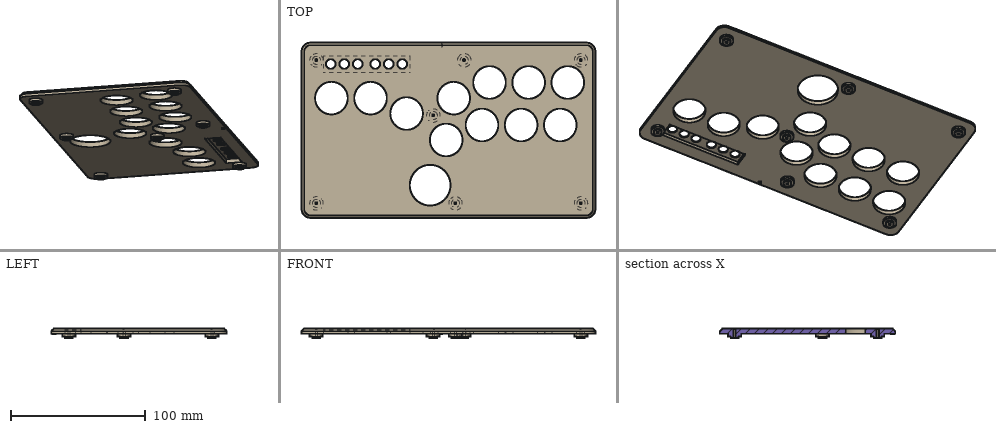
import cadquery as cq

plate_length = 218.0
plate_width = 130.1
plate_thickness = 4.0
corner_radius = 7.0
rim_chamfer = 2.0

total_height = 7.2
foot_diameter = 10.0
foot_tip_diameter = 6.0
foot_tip_height = 1.2
foot_height = total_height - plate_thickness
screw_hole_diameter = 1.62
screw_hole_skin = 0.6

foot_side_x = 98.0
foot_back_y = 52.0
foot_front_y = -54.0
foot_positions = [
    (-foot_side_x, foot_back_y),
    (11.5, foot_back_y),
    (foot_side_x, foot_back_y),
    (-11.4, 11.1),
    (-foot_side_x, foot_front_y),
    (5.0, foot_front_y),
    (foot_side_x, foot_front_y),
]

option_diameter = 7.0
option_pitch = 10.0
option_group_size = 3
option_row_y = 49.1
option_group_starts = [-87.25, -54.27]

option_positions = []
for group_start in option_group_starts:
    for index in range(option_group_size):
        option_positions.append((group_start + index * option_pitch, option_row_y))

button_diameter = 24.0
button_pitch = 29.0
thumb_diameter = 30.0

left_row_y = 23.8
left_row_x = -86.75
upper_row_y = 35.4
upper_row_x = 30.4
lower_row_y = 3.9
lower_row_x = 24.82
row_button_count = 3

button_positions = [
    (left_row_x, left_row_y),
    (left_row_x + button_pitch, left_row_y),
    (-31.03, 12.4),
    (3.85, left_row_y),
    (-1.7, -7.2),
]
for index in range(row_button_count):
    button_positions.append((upper_row_x + index * button_pitch, upper_row_y))
    button_positions.append((lower_row_x + index * button_pitch, lower_row_y))

thumb_position = (-13.6, -40.7)

recess_skin = 1.0
recess_depth = plate_thickness - recess_skin
recess_end_margin = 5.5
recess_side_margin = 6.0

peg_position = (-5.7, 63.0)
peg_diameter = 2.4
peg_height = 0.5

plate_bottom_z = foot_height


def make_plate():
    """Rounded rectangular plate with a sloped upper rim."""
    plate = (
        cq.Workplane("XY", origin=(0, 0, plate_bottom_z))
        .rect(plate_length, plate_width)
        .extrude(plate_thickness)
        .edges("|Z")
        .fillet(corner_radius)
    )
    return plate.faces(">Z").edges().chamfer(rim_chamfer)


def make_cylinders(positions, diameter, bottom_z, height):
    """Vertical cylinders of one size at the given positions."""
    return (
        cq.Workplane("XY", origin=(0, 0, bottom_z))
        .pushPoints(positions)
        .circle(diameter / 2)
        .extrude(height)
    )


def add_feet(body):
    """Stepped stand-offs below the plate, each with a blind screw hole."""
    collar_height = foot_height - foot_tip_height
    collars = make_cylinders(foot_positions, foot_diameter, foot_tip_height, collar_height)
    tips = make_cylinders(foot_positions, foot_tip_diameter, 0, foot_tip_height)
    screw_hole_depth = total_height - screw_hole_skin
    screw_holes = make_cylinders(foot_positions, screw_hole_diameter, 0, screw_hole_depth)
    return body.union(collars).union(tips).cut(screw_holes)


def add_peg(body):
    """Short peg on the underside near the back edge."""
    peg = make_cylinders([peg_position], peg_diameter, plate_bottom_z - peg_height, peg_height)
    return body.union(peg)


def cut_recess(body):
    """Rectangular underside recess that thins the plate around the option buttons."""
    first_x = option_positions[0][0]
    last_x = option_positions[-1][0]
    recess = (
        cq.Workplane("XY", origin=((first_x + last_x) / 2, option_row_y, plate_bottom_z))
        .rect(last_x - first_x + 2 * recess_end_margin, 2 * recess_side_margin)
        .extrude(recess_depth)
    )
    return body.cut(recess)


def cut_through(body, positions, diameter):
    """Round openings through the plate."""
    return body.cut(make_cylinders(positions, diameter, plate_bottom_z, plate_thickness))


result = add_feet(make_plate())
result = add_peg(result)
result = cut_recess(result)
result = cut_through(result, option_positions, option_diameter)
result = cut_through(result, button_positions, button_diameter)
result = cut_through(result, [thumb_position], thumb_diameter)